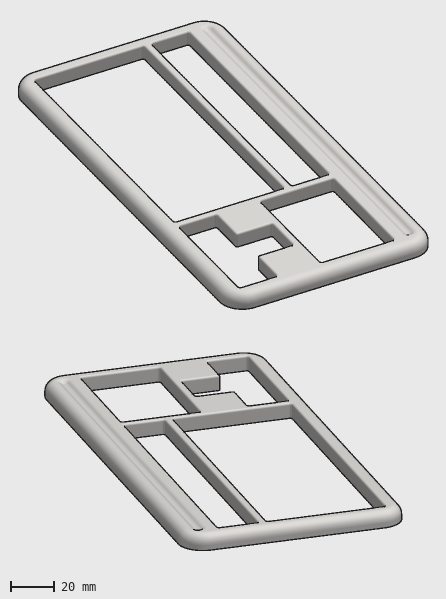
import cadquery as cq
import math

length = 213.3
width = 108.5
height = 7.5
corner_radius = 12.0
rim_radius = 5.0

side_margin = 8.5
top_margin = 18.1
bar = 4.0
divider_x = 40.0
upper_left_height = 19.8
upper_right_height = 38.8
stem_width = 20.0
arm_height = 20.0
opening_corner_radius = 1.09
lip_radius = 1.0

groove_length = 198.8
groove_width = 8.0
groove_y = 45.0
groove_arc_radius = 3.2

left = -length / 2 + side_margin
right = length / 2 - side_margin
bottom = -width / 2 + side_margin
top = width / 2 - top_margin
left_column_end = divider_x - bar
upper_left_bottom = top - upper_left_height
upper_right_bottom = top - upper_right_height


def make_plate():
    plate = cq.Workplane("XY").box(length, width, height, centered=(True, True, False))
    plate = plate.edges("|Z").fillet(corner_radius)
    return plate.faces(">Z").edges().fillet(rim_radius)


def rectangle_points(x_min, x_max, y_min, y_max):
    return [(x_min, y_min), (x_max, y_min), (x_max, y_max), (x_min, y_max)]


def t_points():
    """Upside-down T: a cross arm along the bottom with an upright in its middle."""
    middle = (divider_x + right) / 2
    stem_left = middle - stem_width / 2
    stem_right = middle + stem_width / 2
    stem_top = upper_right_bottom - bar
    arm_top = bottom + arm_height
    return [
        (divider_x, bottom),
        (right, bottom),
        (right, arm_top),
        (stem_right, arm_top),
        (stem_right, stem_top),
        (stem_left, stem_top),
        (stem_left, arm_top),
        (divider_x, arm_top),
    ]


def make_opening(points):
    opening = cq.Workplane("XY").polyline(points).close().extrude(height)
    return opening.edges("|Z").fillet(opening_corner_radius)


def round_opening_lips(plate):
    """Round the top edges of all openings, leaving the plate's outer edge alone."""
    reach = bar / 2
    around_openings = cq.selectors.BoxSelector(
        (left - reach, bottom - reach, height - lip_radius),
        (right + reach, top + reach, height + lip_radius),
    )
    return plate.faces(">Z").edges(around_openings).fillet(lip_radius)


def make_groove():
    """Slot-shaped cutter whose S-curved sides blend into the plate's top face."""
    half_width = groove_width / 2
    end_x = groove_length / 2 - half_width
    arc_angle = math.asin(half_width / 2 / groove_arc_radius)
    arc_drop = groove_arc_radius * (1 - math.cos(arc_angle))
    mid_reach = groove_arc_radius * math.sin(arc_angle / 2)
    mid_drop = groove_arc_radius * (1 - math.cos(arc_angle / 2))
    floor_z = height - 2 * arc_drop

    def half_profile(x, side):
        return (
            cq.Workplane("YZ", origin=(x, groove_y, 0))
            .moveTo(0, floor_z)
            .threePointArc(
                (side * mid_reach, floor_z + mid_drop),
                (side * half_width / 2, floor_z + arc_drop),
            )
            .threePointArc(
                (side * (half_width - mid_reach), height - mid_drop),
                (side * half_width, height),
            )
            .lineTo(0, height)
            .close()
        )

    back_half = half_profile(-end_x, 1).extrude(2 * end_x)
    front_half = half_profile(-end_x, -1).extrude(2 * end_x)
    groove = back_half.union(front_half, clean=False)
    for x, turn_side in ((-end_x, 1), (end_x, -1)):
        end = half_profile(x, turn_side).revolve(180, (0, 0, 0), (0, 1, 0))
        groove = groove.union(end, clean=False)
    return groove


opening_outlines = [
    rectangle_points(left, left_column_end, upper_left_bottom, top),
    rectangle_points(left, left_column_end, bottom, upper_left_bottom - bar),
    rectangle_points(divider_x, right, upper_right_bottom, top),
    t_points(),
]

result = make_plate()
for outline in opening_outlines:
    result = result.cut(make_opening(outline))
result = round_opening_lips(result)
result = result.cut(make_groove(), clean=False)